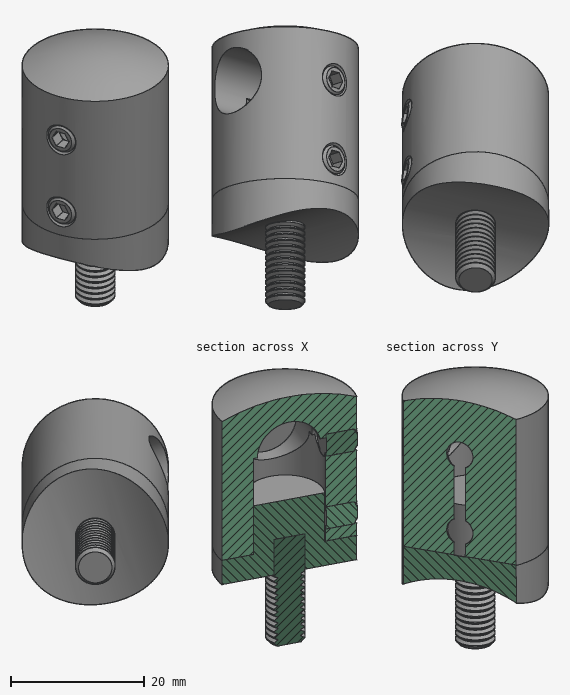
import cadquery as cq
import math

body_diameter = 22.0
total_height = 42.45
body_radius = body_diameter / 2

joint_height = 16.43
rim_height = 40.25
dome_rise = total_height - rim_height
bore_diameter = 10.2
bore_height = 32.85
bore_far_end = 8.5
cavity_diameter = 12.0
cavity_top = bore_height

saddle_diameter = 42.4
saddle_apex = 12.35
saddle_radius = saddle_diameter / 2
plug_diameter = 11.9
plug_top = 24.85

stud_diameter = 6.0
stud_root_diameter = 5.0
stud_embedded_length = stud_diameter
stud_top = saddle_apex + stud_embedded_length
thread_pitch = 0.96
thread_crest_flat = 0.15
first_crest_height = 0.65
ridge_count = 12

screw_heights = (20.4, bore_height)
screw_diameter = 5.0
screw_face_diameter = 3.78
screw_chamfer = (screw_diameter - screw_face_diameter) / 2
screw_length = body_radius - plug_diameter / 2
pilot_hole_diameter = 4.2
pilot_hole_chamfer = (screw_diameter - pilot_hole_diameter) / 2
hex_sides = 6
hex_across_flats = 2.5
hex_depth = 2.12
drill_point_angle = 118


def cylinder_up(diameter, bottom, top):
    """Vertical cylinder on the Z axis between two heights."""
    return cq.Workplane("XY").workplane(offset=bottom).circle(diameter / 2).extrude(top - bottom)


def outward_plane(height):
    """Plane on the Z axis at a height, with its normal pointing towards -Y."""
    return cq.Plane(origin=(0, 0, height), xDir=(1, 0, 0), normal=(0, -1, 0))


def make_screw_blank(height):
    """Set screw without its socket, flush with the outer surface and ending at the plug."""
    return (
        cq.Workplane(outward_plane(height))
        .workplane(offset=body_radius)
        .circle(screw_diameter / 2)
        .extrude(-screw_length)
        .faces("<Y")
        .chamfer(screw_chamfer)
    )


def make_housing():
    dome_radius = (body_radius**2 + dome_rise**2) / (2 * dome_rise)
    half_angle = math.asin(body_radius / dome_radius) / 2
    dome_mid = (
        dome_radius * math.sin(half_angle),
        total_height - dome_radius * (1 - math.cos(half_angle)),
    )
    housing = (
        cq.Workplane("XZ")
        .moveTo(0, joint_height)
        .lineTo(body_radius, joint_height)
        .lineTo(body_radius, rim_height)
        .threePointArc(dome_mid, (0, total_height))
        .close()
        .revolve(360, (0, 0), (0, 1))
    )
    for height in screw_heights:
        pilot_hole = cq.Workplane(outward_plane(height)).circle(pilot_hole_diameter / 2).extrude(body_diameter)
        housing = housing.cut(pilot_hole)
    hole_mouths = cq.selectors.BoxSelector(
        (-body_radius, -body_diameter, joint_height),
        (body_radius, -plug_diameter / 2, rim_height),
    )
    housing = housing.edges(hole_mouths).edges("not %LINE").chamfer(pilot_hole_chamfer)
    for height in screw_heights:
        housing = housing.cut(make_screw_blank(height))

    cavity = cylinder_up(cavity_diameter, joint_height, cavity_top)
    bore = (
        cq.Workplane("YZ")
        .workplane(offset=-body_diameter)
        .center(0, bore_height)
        .circle(bore_diameter / 2)
        .extrude(body_diameter + bore_far_end)
    )
    return housing.cut(cavity).cut(bore)


def make_base():
    saddle = (
        cq.Workplane("XZ")
        .center(0, saddle_apex - saddle_radius)
        .circle(saddle_radius)
        .extrude(body_radius, both=True)
    )
    return (
        cylinder_up(body_diameter, 0, joint_height)
        .union(cylinder_up(plug_diameter, joint_height, plug_top))
        .cut(saddle)
        .cut(cylinder_up(stud_diameter, 0, stud_top))
    )


def make_stud():
    root_radius = stud_root_diameter / 2
    crest_radius = stud_diameter / 2
    outline = [(0, 0), (root_radius, 0)]
    for ridge in range(ridge_count):
        crest = first_crest_height + ridge * thread_pitch
        outline += [
            (crest_radius, crest - thread_crest_flat / 2),
            (crest_radius, crest + thread_crest_flat / 2),
            (root_radius, crest + thread_pitch / 2),
        ]
    shank_bottom = first_crest_height + ridge_count * thread_pitch - thread_crest_flat / 2
    outline += [(crest_radius, shank_bottom), (crest_radius, stud_top), (0, stud_top)]
    return cq.Workplane("XZ").polyline(outline).close().revolve(360, (0, 0), (0, 1))


def make_set_screw(height, pointed_socket):
    socket = (
        cq.Workplane(outward_plane(height))
        .workplane(offset=body_radius)
        .polygon(hex_sides, hex_across_flats / math.cos(math.pi / hex_sides))
        .extrude(-hex_depth)
    )
    screw = make_screw_blank(height).cut(socket)
    if pointed_socket:
        tip_radius = hex_across_flats / 2
        tip_depth = tip_radius / math.tan(math.radians(drill_point_angle / 2))
        tip = cq.Solid.makeCone(
            tip_radius, 0, tip_depth, cq.Vector(0, hex_depth - body_radius, height), cq.Vector(0, 1, 0)
        )
        screw = screw.cut(cq.Workplane(tip))
    return screw


housing = make_housing()
base = make_base()
stud = make_stud()
set_screws = [make_set_screw(height, height == bore_height) for height in screw_heights]

result = cq.Compound.makeCompound(
    [housing.val(), base.val(), stud.val(), *[screw.val() for screw in set_screws]]
)